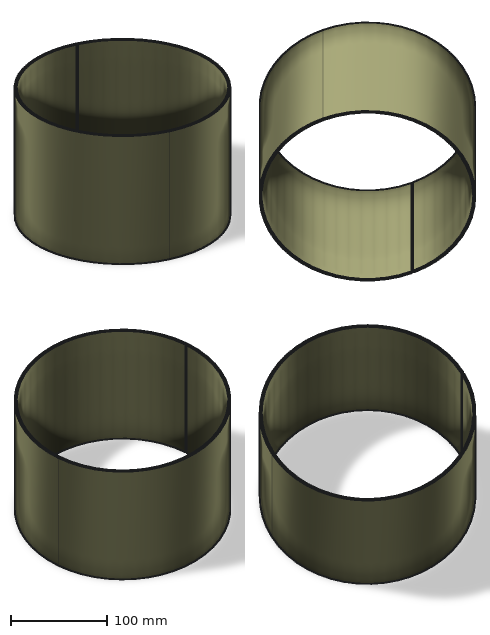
import cadquery as cq

outer_diameter = 225.0
wall = 2.5
height = 150.0
slit_width = 2.0
edge_chamfer = 0.5

outer_radius = outer_diameter / 2
inner_radius = outer_radius - wall

sleeve = cq.Workplane("XY").circle(outer_radius).circle(inner_radius).extrude(height)
sleeve = sleeve.faces("<Z or >Z").edges().chamfer(edge_chamfer)

slit = cq.Workplane("XY").center(-outer_radius, slit_width / 2).rect(4 * wall, slit_width).extrude(height)

result = sleeve.cut(slit)